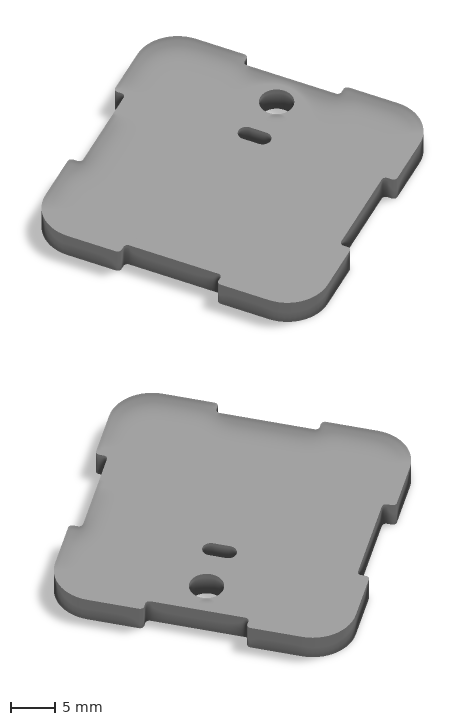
import cadquery as cq

side = 35.0
thickness = 3.0
corner_radius = 5.0

notch_width = 12.0
notch_depth = 1.5
notch_mouth_radius = 0.5
notch_root_radius = notch_mouth_radius

hole_diameter = 4.0
hole_y = 12.0
slot_length = hole_diameter
slot_width = slot_length / 2
slot_y = hole_y / 2


def rounded_plate():
    """Square plate with rounded vertical corners, resting on Z = 0."""
    plate = cq.Workplane("XY").rect(side, side).extrude(thickness)
    return plate.edges("|Z").fillet(corner_radius)


def notch_cutter():
    """Notch profile on the +Y side: flared round mouth and rounded root corners."""
    edge = side / 2
    floor = edge - notch_depth
    half = notch_width / 2
    mouth = half + notch_mouth_radius
    return (
        cq.Workplane("XY")
        .moveTo(-mouth, edge)
        .radiusArc((-half, edge - notch_mouth_radius), notch_mouth_radius)
        .lineTo(-half, floor + notch_root_radius)
        .radiusArc((-half + notch_root_radius, floor), -notch_root_radius)
        .lineTo(half - notch_root_radius, floor)
        .radiusArc((half, floor + notch_root_radius), -notch_root_radius)
        .lineTo(half, edge - notch_mouth_radius)
        .radiusArc((mouth, edge), notch_mouth_radius)
        .close()
        .extrude(thickness)
    )


def centreline_openings():
    """Round hole and slot, both through the full thickness."""
    hole = cq.Workplane("XY").center(0, hole_y).circle(hole_diameter / 2).extrude(thickness)
    slot = cq.Workplane("XY").center(0, slot_y).slot2D(slot_length, slot_width).extrude(thickness)
    return hole.union(slot)


result = rounded_plate()
for angle in (0, 90, 180, 270):
    result = result.cut(notch_cutter().rotate((0, 0, 0), (0, 0, 1), angle))
result = result.cut(centreline_openings())